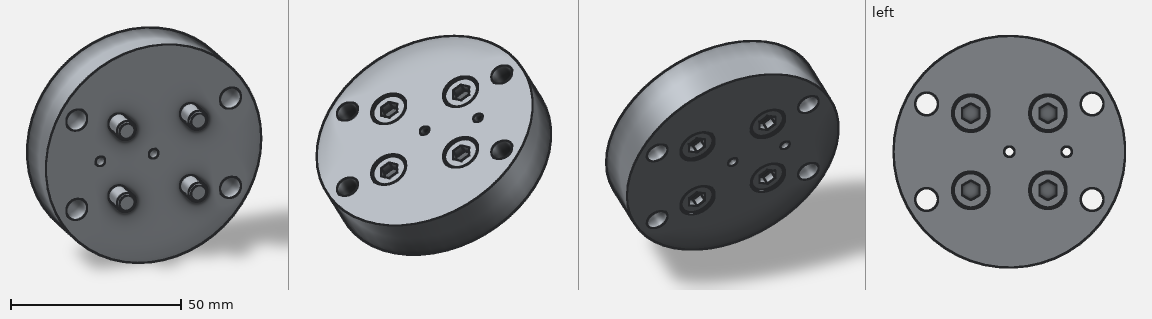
import cadquery as cq
import math

disc_diameter = 68.0
disc_thickness = 15.0
overall_length = 22.4

screw_circle_radius = 16.0
screw_angles = (45, 135, 225, 315)
counterbore_diameter = 11.0
head_diameter = 10.0
shank_diameter = 6.0
head_height = shank_diameter
head_recess = 0.4
counterbore_depth = head_recess + head_height
tip_chamfer = 0.6
socket_across_flats = 5.0
socket_depth = head_height / 2

mounting_circle_radius = 28.0
mounting_angles = (30, 150, 210, 330)
mounting_hole_diameter = 6.6
pin_hole_diameter = 3.0
pin_hole_offset = 16.8


def cylinder(diameter, x_start, x_end):
    """Cylinder about the X axis between two X positions."""
    start_plane = cq.Workplane("YZ", origin=(x_start, 0, 0))
    return start_plane.circle(diameter / 2).extrude(x_end - x_start)


def circle_points(radius, angles):
    """(Y, Z) centres at the given angles in degrees, measured from +Y."""
    return [
        (radius * math.cos(math.radians(angle)), radius * math.sin(math.radians(angle)))
        for angle in angles
    ]


def make_screw():
    """Screw along X: recessed head with hex socket, and a shank with a chamfered tip."""
    head = cylinder(head_diameter, head_recess, counterbore_depth)
    shank = cylinder(shank_diameter, counterbore_depth, overall_length)
    shank = shank.faces(">X").chamfer(tip_chamfer)
    across_corners = socket_across_flats / math.cos(math.radians(30))
    socket = (
        cq.Workplane("YZ", origin=(head_recess, 0, 0))
        .transformed(rotate=(0, 0, 90))
        .polygon(6, across_corners)
        .extrude(socket_depth)
    )
    return head.union(shank).cut(socket)


result = cylinder(disc_diameter, 0, disc_thickness)

mounting_hole = cylinder(mounting_hole_diameter, 0, disc_thickness)
for y, z in circle_points(mounting_circle_radius, mounting_angles):
    result = result.cut(mounting_hole.translate((0, y, z)))

pin_hole = cylinder(pin_hole_diameter, 0, disc_thickness)
for y in (0, -pin_hole_offset):
    result = result.cut(pin_hole.translate((0, y, 0)))

counterbore = cylinder(counterbore_diameter, 0, counterbore_depth)
screw = make_screw()
for y, z in circle_points(screw_circle_radius, screw_angles):
    result = result.cut(counterbore.translate((0, y, z)))
    result = result.union(screw.translate((0, y, z)))